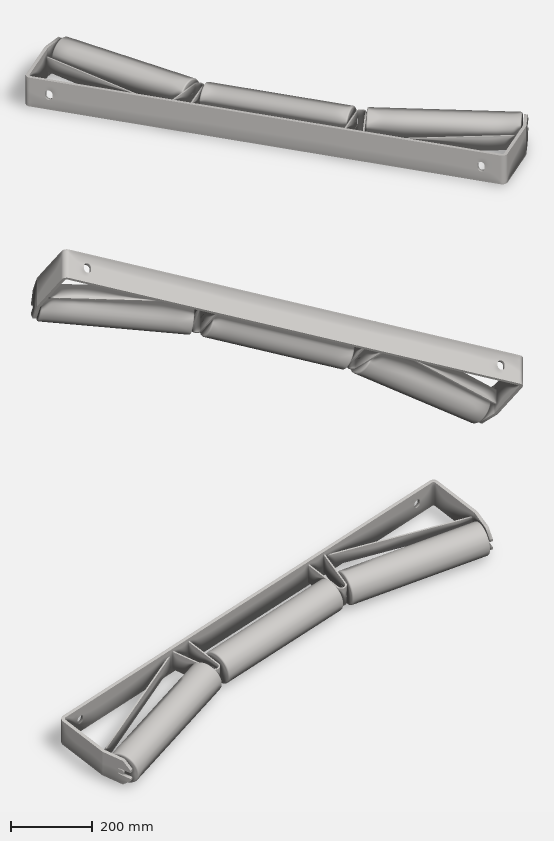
import cadquery as cq
import math

frame_length = 1240.0
strap_width = 80.0
strap_thickness = 9.0
bend_radius = 14.0
wall_height = 157.0
tilt = 15.0
arm_length = 82.0
arm_chamfer = 22.0

mount_hole_x = 557.0
mount_hole_width = 19.0
mount_hole_height = 26.0

plate_thickness = 4.0
bracket_width = 60.0
bracket_face_x = 196.0
bracket_height = 128.0
bracket_bend_radius = 14.0

brace_width = 40.0
brace_wall_y = 149.0
brace_foot_x = 259.0

roller_diameter = 89.0
roller_length = 380.0
roller_fillet = 4.0
shaft_diameter = 20.0
shaft_flats = 14.0
shaft_neck = 2.0
centre_roller_y = 100.0
side_roller_x = 410.0
side_roller_y = 155.0

half_length = frame_length / 2
sin_tilt = math.sin(math.radians(tilt))
cos_tilt = math.cos(math.radians(tilt))
tan_tilt = math.tan(math.radians(tilt))
wall_inner_x = half_length - strap_thickness
inner_bend_radius = bend_radius - strap_thickness
bracket_bend_x = bracket_face_x + bracket_bend_radius
bracket_bend_y = bracket_height - bracket_bend_radius
bracket_outer_x = bracket_face_x + plate_thickness


def along_side_axis(x, y):
    """Distance of a point from the middle of the right roller, measured outward along its axis."""
    return (x - side_roller_x) * cos_tilt + (y - side_roller_y) * sin_tilt


arm_outer_distance = along_side_axis(half_length, wall_height)
leg_outer_distance = along_side_axis(bracket_bend_x, bracket_bend_y) + bracket_bend_radius


def on_side_axis(shape):
    """Move a shape built along X at the origin onto the axis of the right roller."""
    return shape.rotate((0, 0, 0), (0, 0, 1), tilt).translate((side_roller_x, side_roller_y, 0))


def on_centre_axis(shape):
    return shape.translate((0, centre_roller_y, 0))


def make_strap():
    kink = (half_length, wall_height)
    inner_kink = (wall_inner_x, wall_height - strap_thickness * math.tan(math.radians(tilt / 2)))
    tip = (half_length - arm_length * sin_tilt, wall_height + arm_length * cos_tilt)
    inner_tip = (tip[0] - strap_thickness * cos_tilt, tip[1] - strap_thickness * sin_tilt)
    corner = (half_length, 0)
    inner_corner = (wall_inner_x, strap_thickness)

    right_side = [corner, kink, tip, inner_tip, inner_kink, inner_corner]
    left_side = [(-x, y) for x, y in reversed(right_side)]
    strap = cq.Workplane("XY").polyline(right_side + left_side).close().extrude(strap_width / 2, both=True)

    def edge_at(x, y, z=0):
        return strap.edges(cq.selectors.NearestToPointSelector((x, y, z)))

    for side in (1, -1):
        for x, y in (corner, kink):
            strap = edge_at(side * x, y).fillet(bend_radius)
        for x, y in (inner_corner, inner_kink):
            strap = edge_at(side * x, y).fillet(inner_bend_radius)
        tip_x = side * (tip[0] + inner_tip[0]) / 2
        tip_y = (tip[1] + inner_tip[1]) / 2
        for z in (strap_width / 2, -strap_width / 2):
            strap = edge_at(tip_x, tip_y, z).chamfer(arm_chamfer)

    holes = (
        cq.Workplane("XZ")
        .pushPoints([(mount_hole_x, 0), (-mount_hole_x, 0)])
        .slot2D(mount_hole_height, mount_hole_width, 90)
        .extrude(-strap_thickness)
    )
    return strap.cut(holes)


def make_bracket():
    """Right bracket: an upright leg, a round top bend and a leg square to the side roller's axis."""
    inner_radius = bracket_bend_radius - plate_thickness

    def on_bend(radius, degrees):
        angle = math.radians(degrees)
        return (bracket_bend_x + radius * math.cos(angle), bracket_bend_y + radius * math.sin(angle))

    def leaning_foot(radius):
        x, y = on_bend(radius, tilt)
        return (x + (y - strap_thickness) * tan_tilt, strap_thickness)

    middle = (180 + tilt) / 2
    profile = (
        cq.Workplane("XY")
        .moveTo(bracket_face_x, strap_thickness)
        .lineTo(*on_bend(bracket_bend_radius, 180))
        .threePointArc(on_bend(bracket_bend_radius, middle), on_bend(bracket_bend_radius, tilt))
        .lineTo(*leaning_foot(bracket_bend_radius))
        .lineTo(*leaning_foot(inner_radius))
        .lineTo(*on_bend(inner_radius, tilt))
        .threePointArc(on_bend(inner_radius, middle), on_bend(inner_radius, 180))
        .lineTo(bracket_outer_x, strap_thickness)
        .close()
    )
    return profile.extrude(bracket_width / 2, both=True)


def make_brace():
    """Right brace: a flat plate from the base up to the end wall."""
    run = wall_inner_x - brace_foot_x
    rise = brace_wall_y - strap_thickness
    slope_length = math.hypot(run, rise)
    end_height = plate_thickness * slope_length / run
    foot_length = plate_thickness * slope_length / rise
    return (
        cq.Workplane("XY")
        .moveTo(brace_foot_x, strap_thickness)
        .lineTo(wall_inner_x, brace_wall_y)
        .lineTo(wall_inner_x, brace_wall_y - end_height)
        .lineTo(brace_foot_x + foot_length, strap_thickness)
        .close()
        .extrude(brace_width / 2, both=True)
    )


def make_shaft_slot(start, end):
    """Cutter along X with a round bottom, open toward +Y."""
    plane = cq.Workplane("YZ").workplane(offset=start)
    bottom = plane.circle(shaft_diameter / 2).extrude(end - start)
    opening = plane.center(roller_diameter / 2, 0).rect(roller_diameter, shaft_diameter).extrude(end - start)
    return bottom.union(opening)


def make_frame():
    bracket = make_bracket()
    bracket = bracket.cut(on_centre_axis(make_shaft_slot(bracket_face_x, bracket_outer_x)))
    bracket = bracket.cut(on_side_axis(make_shaft_slot(leg_outer_distance - plate_thickness, leg_outer_distance)))
    arm_slot = on_side_axis(make_shaft_slot(arm_outer_distance - strap_thickness, arm_outer_distance))

    frame = make_strap()
    for part in (bracket, make_brace()):
        frame = frame.union(part).union(part.mirror("YZ"))
    return frame.cut(arm_slot).cut(arm_slot.mirror("YZ"))


def make_roller(shaft_start, shaft_end):
    """Roller along X, centred at the origin, with its shaft running from shaft_start to shaft_end."""
    half_roller = roller_length / 2
    tube = (
        cq.Workplane("YZ")
        .workplane(offset=-half_roller)
        .circle(roller_diameter / 2)
        .extrude(roller_length)
        .edges()
        .fillet(roller_fillet)
    )
    shaft = cq.Workplane("YZ").workplane(offset=shaft_start).circle(shaft_diameter / 2).extrude(shaft_end - shaft_start)
    neck_length = roller_length + 2 * shaft_neck
    flat_ends = shaft.intersect(cq.Workplane("XY").box(2 * shaft_end, shaft_diameter, shaft_flats))
    round_middle = shaft.intersect(cq.Workplane("XY").box(neck_length, shaft_diameter, shaft_diameter))
    return tube.union(round_middle).union(flat_ends)


frame = make_frame()
centre_roller = on_centre_axis(make_roller(-bracket_outer_x, bracket_outer_x))
right_roller = on_side_axis(make_roller(leg_outer_distance - plate_thickness, arm_outer_distance))
left_roller = right_roller.mirror("YZ")

bodies = [frame, centre_roller, right_roller, left_roller]
result = cq.Compound.makeCompound([body.solids().val() for body in bodies])